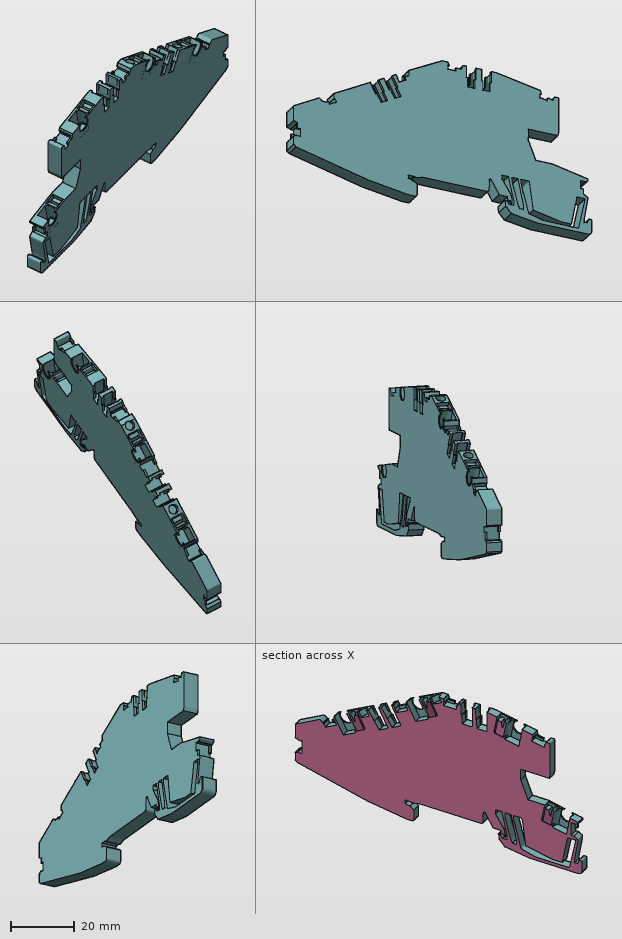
import cadquery as cq
import math


WIDTH = 5.1
HALF_WIDTH = WIDTH / 2
HALF_LENGTH = 52.3
SHOULDER_Z = 50.2
RAIL_Z = 7.3
LATCH_TOP_Z = 14.2

BACK_TILT = -27.8
FRONT_TILT = 11.0
LOW_BACK_END = (16.4, 41.7)
HIGH_BACK_END = (0.3, SHOULDER_Z)
HIGH_FRONT_END = (-18.7, SHOULDER_Z)
LOW_FRONT_END = (-38.2, 22.2)

FUNNEL_LENGTH = 5.1
FUNNEL_DEPTH = 6.8
FUNNEL_LEFT_X = -1.7
FUNNEL_RIGHT_X = 2.2
FUNNEL_BULGE = 0.7
FUNNEL_WEB = 0.1
SIDE_NOTCH_RADIUS = 2.3
NOTCH_OFFSET = 3.0
NOTCH_DEPTH = 1.9
WINDOW_LENGTH = 4.1
WINDOW_HALF_X = 2.0
WINDOW_DEPTH = 6.3
CLAMP_LEFT_X = -1.6
CLAMP_RIGHT_X = 1.9
PROBE_DIAMETER = 3.0
PROBE_DEPTH = 2.1
PROBE_OFFSET = 6.4

MOUTH_MARGIN = 0.3

SLOT_FLOOR = 2.5
SLOT_MOUTH = 3.3
SLOT_STEP = 3.2
SLOT_HEIGHT = 8.4
SLOT_PITCH = 5.3
CONTACT_HALF_X = 1.7
CONTACT_TAPER_Y = 2.0
CONTACT_LEDGE_Y = -2.2
CONTACT_LEDGE_RISE = 0.1

MARKER_LENGTH = 4.5
MARKER_SPLIT = 2.7
MARKER_DEPTH = 1.0
MARKER_RIB = 0.6

FOOT_CHAMFER = 0.3
FOOT_TOP_Z = 5.4


def rounded_wire(corners):
    """Closed YZ outline; a corner (y, z, r) is rounded with radius r, a corner (y, z) is sharp."""
    trims = []
    count = len(corners)
    for i, corner in enumerate(corners):
        point = cq.Vector(*corner[:2])
        if len(corner) == 2:
            trims.append((point, point, point))
            continue
        radius = corner[2]
        to_last = (cq.Vector(*corners[i - 1][:2]) - point).normalized()
        to_next = (cq.Vector(*corners[(i + 1) % count][:2]) - point).normalized()
        half_angle = to_last.getAngle(to_next) / 2
        reach = radius / math.tan(half_angle)
        bisector = (to_last + to_next).normalized()
        middle = point + bisector * (radius / math.sin(half_angle) - radius)
        trims.append((point + to_last * reach, middle, point + to_next * reach))
    outline = cq.Workplane("YZ").moveTo(*trims[0][2].toTuple()[:2])
    for start, middle, end in trims[1:] + trims[:1]:
        outline = outline.lineTo(*start.toTuple()[:2])
        if (end - start).Length > 0:
            outline = outline.threePointArc(middle.toTuple()[:2], end.toTuple()[:2])
    return outline.close()


def plate(corners):
    """Full-width plate with the given YZ outline."""
    return rounded_wire(corners).extrude(WIDTH).translate((-HALF_WIDTH, 0, 0))


def block(x_range, y_range, z_range):
    """Box from ranges; each range may run in either direction."""
    sizes = [abs(b - a) for a, b in (x_range, y_range, z_range)]
    centre = [(a + b) / 2 for a, b in (x_range, y_range, z_range)]
    return cq.Workplane("XY").box(*sizes).translate(tuple(centre))


def place(shape, spot, tilt):
    """Turn a shape built at the origin about X and move the origin to the spot (y, z)."""
    return shape.rotate((0, 0, 0), (1, 0, 0), tilt).translate((0, spot[0], spot[1]))


def on_slope(end, tilt, y):
    """Point at y on the sloping face that runs through its end point."""
    return (y, end[1] + (y - end[0]) * math.tan(math.radians(tilt)))


WIRE_ENTRIES = [
    (on_slope(LOW_BACK_END, BACK_TILT, 33.4), BACK_TILT, 1, True),
    (on_slope(HIGH_BACK_END, BACK_TILT, 7.0), BACK_TILT, 1, True),
    (on_slope(HIGH_FRONT_END, FRONT_TILT, -25.3), FRONT_TILT, -1, False),
    (on_slope(LOW_FRONT_END, FRONT_TILT, -42.7), FRONT_TILT, -1, False),
]

FIRST_TILTED_SLOT = (20.5, 31.3)
FIRST_UPRIGHT_SLOT = (-9.9, 43.0)
BACK_TILT_RADIANS = math.radians(BACK_TILT)
BRIDGE_SLOTS = [
    (FIRST_TILTED_SLOT, BACK_TILT),
    (
        (
            FIRST_TILTED_SLOT[0] - SLOT_PITCH * math.cos(BACK_TILT_RADIANS),
            FIRST_TILTED_SLOT[1] - SLOT_PITCH * math.sin(BACK_TILT_RADIANS),
        ),
        BACK_TILT,
    ),
    (FIRST_UPRIGHT_SLOT, 0),
    ((FIRST_UPRIGHT_SLOT[0] - SLOT_PITCH, FIRST_UPRIGHT_SLOT[1]), 0),
]

MARKERS = [
    ((37.8, 28.2), BACK_TILT, 1),
    ((15.8, 40.3), BACK_TILT, -1),
    ((-1.8, 48.7), 0, -1),
    ((-34.1, 45.8), FRONT_TILT, -1),
    ((-49.3, 18.4), 90, -1),
    ((50.9, 12.3), -90, -1),
]

BACK_EDGE = [
    (HALF_LENGTH, 22.7, 0.5),
    (43.3, 27.5, 0.2),
    (42.1, 26.6),
    (40.7, 26.6),
    (38.2, 28.3),
    (38.2, 30.2),
    LOW_BACK_END,
    (15.7, 40.4),
    (11.9, 42.5),
    (11.9, 44.2),
]
TOP_EDGE = [
    HIGH_BACK_END,
    (-1.8, SHOULDER_Z),
    (-2.4, 48.7),
    (-6.5, 48.7),
    (-7.1, SHOULDER_Z),
    HIGH_FRONT_END,
    (-34.2, 47.3),
    (-34.5, 45.7),
    (-38.5, 44.9),
    (-39.1, 46.1, 0.4),
    (-40.6, 46.1, 0.5),
]
FRONT_EDGE = [
    (-40.6, 34.0),
    (-40.3, 32.6),
    (-29.9, 32.6),
    (-29.9, 28.8),
    (-32.5, 22.2),
    LOW_FRONT_END,
    (-50.8, 19.6),
    (-50.8, 18.9, 0.2),
    (-49.3, 18.1),
    (-49.3, 13.9),
    (-50.7, 13.0, 0.3),
    (-50.7, 12.2, 0.3),
    (-49.5, 4.9),
    (-49.5, 3.9),
    (-50.5, 4.0),
    (-51.0, FOOT_TOP_Z, 0.3),
    (-HALF_LENGTH, FOOT_TOP_Z, 0.5),
    (-HALF_LENGTH, 0.0, 1.7),
]
LATCH_EDGE = [
    (-33.2, 0.0),
    (-24.0, 1.4),
    (-22.0, 3.6),
    (-21.6, 5.5),
    (-22.3, 5.6),
    (-22.7, 5.1),
    (-23.3, 4.5),
    (-24.8, 4.5),
    (-24.8, 6.2),
    (-22.9, LATCH_TOP_Z),
    (-20.7, LATCH_TOP_Z),
    (-20.7, 12.9),
    (-23.8, 8.1),
    (-24.2, 6.5),
    (-24.2, 5.0),
    (-23.8, 5.0),
    (-23.6, 5.9),
    (-22.6, 5.9),
]
BOTTOM_EDGE = [
    (-22.6, 7.0),
    (-19.7, 7.1),
    (-16.8, 11.9),
    (-16.3, 11.9),
    (-16.1, RAIL_Z, 0.8),
    (7.2, RAIL_Z),
    (8.9, 6.8),
    (9.8, 6.8),
    (10.2, 7.0),
    (12.1, 7.0),
    (12.1, 5.9),
    (10.5, 5.4),
    (9.0, 4.5),
    (9.0, 0.0, 0.8),
    (11.9, 0.0),
    (25.9, 2.1),
    (51.5, 8.3),
    (HALF_LENGTH, 9.0),
    (HALF_LENGTH, 11.9),
    (50.9, 12.7),
    (50.9, 16.9),
    (HALF_LENGTH, 17.5),
]
LATCH_SLIT = [
    (-24.2, LATCH_TOP_Z),
    (-24.2, 12.9),
    (-26.4, 4.7),
    (-26.9, 3.8),
    (-28.2, 3.8),
    (-28.2, 4.9),
    (-26.2, LATCH_TOP_Z),
]
LATCH_CHANNEL = [
    (-27.3, LATCH_TOP_Z),
    (-27.3, 13.0),
    (-30.0, 2.7, 0.8),
    (-35.2, 1.4),
    (-47.5, 1.4, 0.5),
    (-49.8, 12.3),
    (-47.0, 12.3),
    (-45.0, 2.3),
    (-41.2, 2.3),
    (-31.6, 4.3),
    (-30.2, LATCH_TOP_Z, 0.4),
]


def bridge_slot():
    """Stepped slot through the full width, with a wider middle for the bridge contact."""
    floor, mouth = SLOT_FLOOR / 2, SLOT_MOUTH / 2
    through = plate(
        [
            (-floor, 0),
            (floor, 0),
            (floor, SLOT_STEP),
            (mouth, SLOT_STEP),
            (mouth, SLOT_HEIGHT),
            (-mouth, SLOT_HEIGHT),
            (-mouth, SLOT_STEP),
            (-floor, SLOT_STEP),
        ]
    )
    contact = (
        cq.Workplane("YZ")
        .polyline(
            [
                (-floor, 0),
                (floor, 0),
                (CONTACT_TAPER_Y, SLOT_HEIGHT),
                (CONTACT_LEDGE_Y, SLOT_HEIGHT),
                (CONTACT_LEDGE_Y, CONTACT_LEDGE_RISE),
            ]
        )
        .close()
        .extrude(CONTACT_HALF_X, both=True)
    )
    return through.union(contact)


def marker_recess(direction):
    """Recess with a rib at +X along its first part and a rib at -X along the rest."""
    heights = (-MARKER_DEPTH, MOUTH_MARGIN)
    inner = HALF_WIDTH - MARKER_RIB
    split = direction * MARKER_SPLIT
    first = block((-HALF_WIDTH, inner), (0, split), heights)
    rest = block((-inner, HALF_WIDTH), (split, direction * MARKER_LENGTH), heights)
    return first.union(rest)


def wire_funnel(direction):
    """Blind shaft with one curved end, open through the +X wall by a round notch at its mouth."""
    near = direction * FUNNEL_WEB
    shoulder = direction * (FUNNEL_WEB + FUNNEL_BULGE)
    far = direction * FUNNEL_LENGTH
    shaft = (
        cq.Workplane("XY")
        .moveTo(FUNNEL_LEFT_X, far)
        .lineTo(FUNNEL_LEFT_X, shoulder)
        .threePointArc(
            ((FUNNEL_LEFT_X + FUNNEL_RIGHT_X) / 2, near), (FUNNEL_RIGHT_X, shoulder)
        )
        .lineTo(FUNNEL_RIGHT_X, far)
        .close()
        .extrude(-FUNNEL_DEPTH - MOUTH_MARGIN)
        .translate((0, 0, MOUTH_MARGIN))
    )
    notch = (
        cq.Workplane("YZ")
        .center(direction * NOTCH_OFFSET, -NOTCH_DEPTH)
        .circle(SIDE_NOTCH_RADIUS)
        .extrude(HALF_WIDTH - FUNNEL_RIGHT_X)
        .translate((FUNNEL_RIGHT_X, 0, 0))
    )
    return shaft.union(notch)


def clamp_window(direction):
    """Blind pocket that holds one clamp."""
    return block(
        (-WINDOW_HALF_X, WINDOW_HALF_X), (0, -direction * WINDOW_LENGTH), (-WINDOW_DEPTH, MOUTH_MARGIN)
    )


def probe_hole(direction):
    """Round blind hole for a test probe, behind the clamp window."""
    return (
        cq.Workplane("XY")
        .center(0, -direction * PROBE_OFFSET)
        .circle(PROBE_DIAMETER / 2)
        .extrude(-PROBE_DEPTH - MOUTH_MARGIN)
        .translate((0, 0, MOUTH_MARGIN))
    )


def wire_clamp(spot, tilt, direction):
    """Clamp with a round spring crest, a V valley and a flat shoulder, resting on the window floor."""
    crest_near, crest_far, shoulder_near, shoulder_far = 0.5, 1.5, 2.4, 3.8
    crest_top, crest_side, valley, shoulder = -0.3, -0.8, -3.1, -1.0
    crest_middle = (crest_near + crest_far) / 2
    profile = (
        cq.Workplane("YZ")
        .moveTo(crest_near, -WINDOW_DEPTH)
        .lineTo(crest_near, crest_side)
        .threePointArc((crest_middle, crest_top), (crest_far, crest_side))
        .lineTo(crest_far, valley)
        .lineTo(shoulder_near, shoulder)
        .lineTo(shoulder_far, shoulder)
        .lineTo(shoulder_far, -WINDOW_DEPTH)
        .close()
        .extrude(CLAMP_RIGHT_X - CLAMP_LEFT_X)
        .translate((CLAMP_LEFT_X, 0, 0))
    )
    if direction > 0:
        profile = profile.mirror("XZ")
    return place(profile, spot, tilt)


def foot_chamfer():
    """Wedge that bevels the upright -X edge of the foot tip."""
    return (
        cq.Workplane("XY")
        .moveTo(-HALF_WIDTH, -HALF_LENGTH)
        .line(FOOT_CHAMFER, 0)
        .line(-FOOT_CHAMFER, FOOT_CHAMFER)
        .close()
        .extrude(FOOT_TOP_Z)
    )


def make_housing():
    body = plate(BACK_EDGE + TOP_EDGE + FRONT_EDGE + LATCH_EDGE + BOTTOM_EDGE)
    body = body.cut(plate(LATCH_SLIT)).cut(plate(LATCH_CHANNEL))
    body = body.cut(foot_chamfer())
    for spot, tilt in BRIDGE_SLOTS:
        body = body.cut(place(bridge_slot(), spot, tilt))
    for spot, tilt, direction in MARKERS:
        body = body.cut(place(marker_recess(direction), spot, tilt))
    for spot, tilt, direction, has_probe in WIRE_ENTRIES:
        body = body.cut(place(wire_funnel(direction), spot, tilt))
        body = body.cut(place(clamp_window(direction), spot, tilt))
        if has_probe:
            body = body.cut(place(probe_hole(direction), spot, tilt))
    return body


housing = make_housing()
clamps = [wire_clamp(spot, tilt, direction) for spot, tilt, direction, _ in WIRE_ENTRIES]
result = cq.Compound.makeCompound([housing.val(), *(clamp.val() for clamp in clamps)])